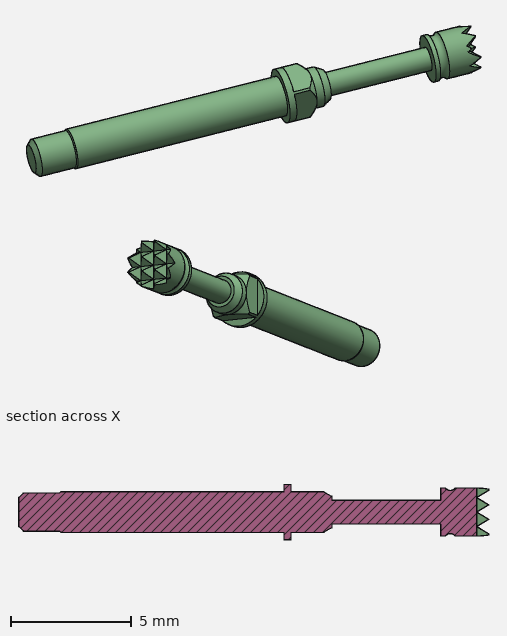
import cadquery as cq


total_length = 19.5
flange_thickness = 0.3
barrel_length = 9.3
tail_length = 1.7
tail_chamfer = 0.2
square_length = 1.0
collar_length = 0.35
collar_taper_length = 0.35
head_length = 2.0
head_rim_length = 0.2
neck_groove_width = 0.4

flange_diameter = 2.3
barrel_diameter = 1.7
tail_diameter = 1.6
collar_nose_diameter = 1.3
rod_diameter = 1.0
head_diameter = 2.0
neck_groove_diameter = 1.8

tooth_pitch = 0.6
tooth_depth = 0.5
groove_count = 3

tail_end = -(barrel_length + tail_length)
tip = tail_end + total_length
square_end = flange_thickness + square_length
collar_end = square_end + collar_length
nose_end = collar_end + collar_taper_length
head_back = tip - head_length


def revolve_profile(points):
    """Revolve a closed (radius, y) outline about the Y axis."""
    return cq.Workplane("XY").polyline(points).close().revolve(360, (0, 0), (0, 1))


def make_barrel():
    """Tail with chamfered end, barrel with a 45 degree shoulder, and stop flange."""
    barrel_radius = barrel_diameter / 2
    tail_radius = tail_diameter / 2
    flange_radius = flange_diameter / 2
    shoulder_length = barrel_radius - tail_radius
    return revolve_profile([
        (0, tail_end),
        (tail_radius - tail_chamfer, tail_end),
        (tail_radius, tail_end + tail_chamfer),
        (tail_radius, -barrel_length),
        (barrel_radius, -barrel_length + shoulder_length),
        (barrel_radius, 0),
        (flange_radius, 0),
        (flange_radius, flange_thickness),
        (0, flange_thickness),
    ])


def make_square():
    """Square section, its corners turned to the flange diameter and coned at 45 degrees."""
    flange_radius = flange_diameter / 2
    collar_radius = barrel_diameter / 2
    cone_length = flange_radius - collar_radius
    turned = revolve_profile([
        (0, flange_thickness),
        (flange_radius, flange_thickness),
        (flange_radius, square_end - cone_length),
        (collar_radius, square_end),
        (0, square_end),
    ])
    square = (
        cq.Workplane("XY")
        .box(barrel_diameter, square_length, barrel_diameter)
        .translate((0, flange_thickness + square_length / 2, 0))
    )
    return turned.intersect(square)


def make_plunger():
    """Tapered collar, rod and the head blank with its round neck groove."""
    collar_radius = barrel_diameter / 2
    nose_radius = collar_nose_diameter / 2
    rod_radius = rod_diameter / 2
    head_radius = head_diameter / 2
    neck_radius = neck_groove_diameter / 2
    groove_start = head_back + head_rim_length
    groove_middle = groove_start + neck_groove_width / 2
    groove_end = groove_start + neck_groove_width
    return (
        cq.Workplane("XY")
        .moveTo(0, square_end)
        .lineTo(collar_radius, square_end)
        .lineTo(collar_radius, collar_end)
        .lineTo(nose_radius, nose_end)
        .lineTo(rod_radius, nose_end)
        .lineTo(rod_radius, head_back)
        .lineTo(head_radius, head_back)
        .lineTo(head_radius, groove_start)
        .threePointArc((neck_radius, groove_middle), (head_radius, groove_end))
        .lineTo(head_radius, tip)
        .lineTo(0, tip)
        .close()
        .revolve(360, (0, 0), (0, 1))
    )


def make_serration_cutter(center):
    """V groove running along Z across the tip, centred at the given X."""
    return (
        cq.Workplane("XY")
        .polyline([
            (center - tooth_pitch / 2, tip),
            (center, tip - tooth_depth),
            (center + tooth_pitch / 2, tip),
        ])
        .close()
        .extrude(head_diameter, both=True)
    )


def cut_serrations(probe):
    """Cross two sets of V grooves at right angles, leaving pyramid teeth."""
    for index in range(groove_count):
        center = (index - (groove_count - 1) / 2) * tooth_pitch
        groove = make_serration_cutter(center)
        probe = probe.cut(groove)
        probe = probe.cut(groove.rotate((0, 0, 0), (0, 1, 0), 90))
    return probe


blank = make_barrel().union(make_square()).union(make_plunger())
result = cut_serrations(blank)